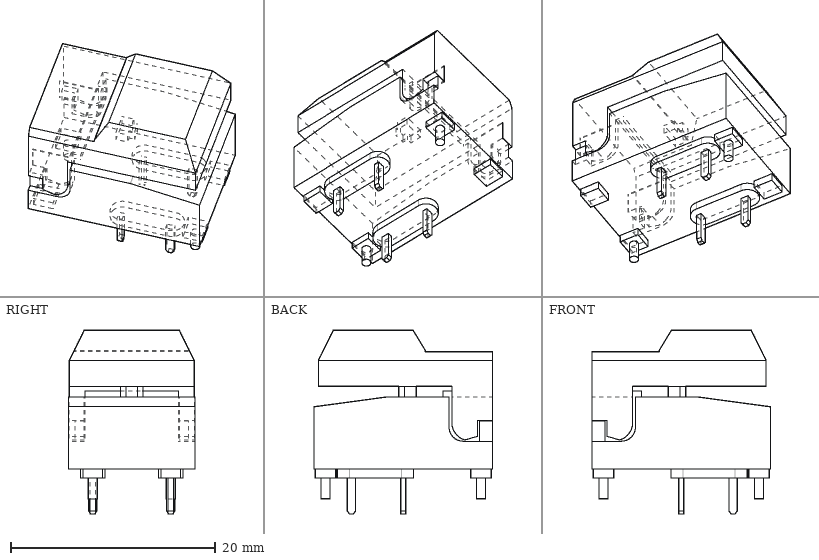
import cadquery as cq
import math


housing_length = 17.5
housing_width = 12.4
housing_height = 7.07
free_end_height = 6.12
slope_start_x = 1.7
hinge_x = -housing_length / 2
free_end_x = housing_length / 2

core_width = 9.18
pocket_floor = 2.74
pocket_end_x = -4.48
pocket_radius = 1.39
shoulder_length = 1.28
shoulder_width = 11.16
shoulder_top = 4.72

cap_width = 12.24
cap_crown_width = 9.32
cap_top = 13.6
cap_end_x = 8.32
cap_underside = 8.12
bevel_start = 10.65
rear_deck = 11.5
crown_foot_x = -2.18
crown_foot_rise = 0.13
crown_start_x = -0.97
crown_end_x = 6.85

leg_clearance = 0.07
leg_end_x = -4.75
leg_notch_x = -7.27
leg_heel_z = 3.22
leg_toe_x = -6.03
leg_toe_z = 2.86
leg_radius = 1.8

plunger_x = -1.3
plunger_length = 1.19
plunger_width = 2.16
plunger_rib_length = 0.55
plunger_rib_width = 1.08
stop_length = 0.88
stop_height = 0.6

row_y = 3.82
standoff_height = 0.86
corner_x = 7.61
corner_standoff_length = 2.02
corner_standoff_width = 1.95
long_standoff_width = 2.41
long_standoff_x = 2.72
terminal_pitch = 5.08
pin_diameter = 0.9
pin_tip_z = -2.92
terminal_width = 0.83
terminal_thickness = 0.5
terminal_tip_z = -4.4
tip_chamfer_height = 0.3
tip_chamfer_width = 0.22


def block(x_start, x_end, width, z_start, z_end):
    """Box centred on the middle plane."""
    size = (x_end - x_start, width, z_end - z_start)
    return cq.Workplane("XY").box(*size, centered=(False, True, False)).translate((x_start, 0, z_start))


def slab(side_outline, y_start, y_end):
    """Closed XZ outline extruded between two Y positions."""
    return side_outline.extrude(y_start - y_end).translate((0, y_start, 0))


def both_sides(solid):
    return solid.union(solid.mirror("XZ"))


def make_housing():
    outline = (
        cq.Workplane("XZ")
        .moveTo(hinge_x, 0)
        .lineTo(free_end_x, 0)
        .lineTo(free_end_x, free_end_height)
        .lineTo(slope_start_x, housing_height)
        .lineTo(hinge_x, housing_height)
        .close()
    )
    pocket = (
        cq.Workplane("XZ")
        .moveTo(hinge_x, pocket_floor)
        .lineTo(pocket_end_x - pocket_radius, pocket_floor)
        .radiusArc((pocket_end_x, pocket_floor + pocket_radius), -pocket_radius)
        .lineTo(pocket_end_x, housing_height)
        .lineTo(hinge_x, housing_height)
        .close()
    )
    pockets = both_sides(slab(pocket, core_width / 2, housing_width / 2))
    shoulder = block(hinge_x, hinge_x + shoulder_length, shoulder_width, pocket_floor, shoulder_top)
    return slab(outline, -housing_width / 2, housing_width / 2).cut(pockets).union(shoulder)


def make_cap():
    side = (
        cq.Workplane("XZ")
        .moveTo(hinge_x, housing_height)
        .lineTo(leg_end_x, housing_height)
        .lineTo(leg_end_x, cap_underside)
        .lineTo(cap_end_x, cap_underside)
        .lineTo(cap_end_x, bevel_start)
        .lineTo(crown_end_x, cap_top)
        .lineTo(crown_start_x, cap_top)
        .lineTo(crown_foot_x, rear_deck + crown_foot_rise)
        .lineTo(crown_foot_x, rear_deck)
        .lineTo(hinge_x, rear_deck)
        .close()
    )
    section = (
        cq.Workplane("YZ", origin=(hinge_x, 0, 0))
        .moveTo(-cap_width / 2, 0)
        .lineTo(-cap_width / 2, bevel_start)
        .lineTo(-cap_crown_width / 2, cap_top)
        .lineTo(cap_crown_width / 2, cap_top)
        .lineTo(cap_width / 2, bevel_start)
        .lineTo(cap_width / 2, 0)
        .close()
        .extrude(housing_length)
    )
    return slab(side, -cap_width / 2, cap_width / 2).intersect(section)


def make_cap_legs():
    toe_reach = leg_radius - (leg_end_x - leg_toe_x)
    curve_start_z = leg_toe_z + math.sqrt(leg_radius**2 - toe_reach**2)
    leg_step_z = shoulder_top + leg_clearance
    outline = (
        cq.Workplane("XZ")
        .moveTo(hinge_x, housing_height)
        .lineTo(hinge_x, leg_step_z)
        .lineTo(leg_notch_x, leg_step_z)
        .lineTo(leg_notch_x, leg_heel_z)
        .lineTo(leg_toe_x, leg_toe_z)
        .radiusArc((leg_end_x, curve_start_z), -leg_radius)
        .lineTo(leg_end_x, housing_height)
        .close()
    )
    return both_sides(slab(outline, core_width / 2 + leg_clearance, cap_width / 2))


def make_plunger():
    rib_x = plunger_x + plunger_length
    stem = block(plunger_x, rib_x, plunger_width, housing_height, cap_underside)
    rib = block(rib_x, rib_x + plunger_rib_length, plunger_rib_width, housing_height, cap_underside)
    return stem.union(rib)


def make_stop():
    stop_top = housing_height + stop_height
    return block(leg_end_x, leg_end_x + stop_length, core_width, housing_height, stop_top)


def make_standoffs():
    corners = (
        cq.Workplane("XY")
        .rect(2 * corner_x, 2 * row_y, forConstruction=True)
        .vertices()
        .rect(corner_standoff_length, corner_standoff_width)
        .extrude(-standoff_height)
    )
    long_pads = (
        cq.Workplane("XY")
        .pushPoints([(long_standoff_x, -row_y), (long_standoff_x, row_y)])
        .slot2D(terminal_pitch + long_standoff_width, long_standoff_width)
        .extrude(-standoff_height)
    )
    return corners.union(long_pads)


def make_locating_pins():
    return (
        cq.Workplane("XY")
        .pushPoints([(-corner_x, row_y), (corner_x, -row_y)])
        .circle(pin_diameter / 2)
        .extrude(pin_tip_z)
    )


def make_terminal():
    """Flat blade with a chamfered tip, its broad faces square to Y."""
    half_width = terminal_width / 2
    tip_half_width = half_width - tip_chamfer_width
    chamfer_z = terminal_tip_z + tip_chamfer_height
    outline = (
        cq.Workplane("XZ")
        .moveTo(-half_width, 0)
        .lineTo(-half_width, chamfer_z)
        .lineTo(-tip_half_width, terminal_tip_z)
        .lineTo(tip_half_width, terminal_tip_z)
        .lineTo(half_width, chamfer_z)
        .lineTo(half_width, 0)
        .close()
    )
    return slab(outline, -terminal_thickness / 2, terminal_thickness / 2)


def make_terminals():
    blade = make_terminal()
    crosswise = blade.rotate((0, 0, 0), (0, 0, 1), 90).translate((0, row_y, 0))
    lengthwise = blade.translate((terminal_pitch, row_y, 0))
    return both_sides(crosswise.union(lengthwise))


result = (
    make_housing()
    .union(make_cap())
    .union(make_cap_legs())
    .union(make_plunger())
    .union(make_stop())
    .union(make_standoffs())
    .union(make_locating_pins())
    .union(make_terminals())
)